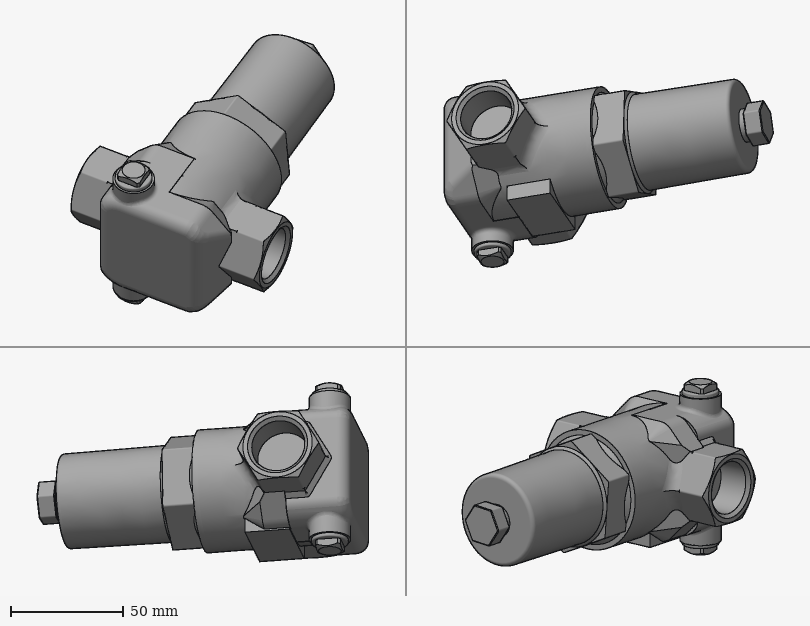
import cadquery as cq
import math

PORT_LENGTH = 95.0
BASE_Y = -28.5
TOP_Y = BASE_Y + 144.87
PLUG_SPAN = 79.0

BODY_RADIUS = 55.0 / 2
BODY_TOP_Y = 42.7
BODY_RIM_Y = 40.0
BODY_FOOT_RADIUS = 27.7

NUT_FLATS = 46.0
NUT_TOP_Y = 56.9
NUT_FOOT_CONE_RADIUS = 25.0
NUT_FOOT_CONE_HEIGHT = 4.0
NUT_CORNER_ROUND = 1.0
HEX_TILT = 4.5
CAP_FOOT_RADIUS = 21.7
CAP_TOP_RADIUS = 21.2
CAP_TOP_Y = 105.7
CAP_COLLAR_HEIGHT = 1.2
CAP_ROUND = 1.9
SCREW_FLATS = 17.0
SCREW_HEAD_Y = 108.3
SCREW_HEAD_EDGE = 0.4
SCREW_NECK_RADIUS = 15.0 / 2
SCREW_CORNER_ROUND = 1.0

PORT_FLATS = 32.0
PORT_CORNER_ROUND = 1.0
PORT_END_CHAMFER = 1.4
PORT_END_RADIUS = 15.7
BORE_RADIUS = 24.0 / 2
BORE_DEPTH = 16.0
BORE_LEAD_IN = 1.6
PORT_ROOT_FILLET = 5.0
PORT_ROOT_X = BODY_FOOT_RADIUS + PORT_ROOT_FILLET
INLET_FLARE = 2.2

HOUSING_HALF_WIDTH = 27.8
HOUSING_LEFT_X = -28.0
HOUSING_TOP_Y = 0.0
HOUSING_SLOPE_Z = 21.3
HOUSING_SLOPE_X = -22.6
HOUSING_SIDE_ROUND = 6.0
HOUSING_FRONT_ROUND = 14.0
PASSAGE_SLOPE_X = 19.7
PASSAGE_END_X = 31.5
PASSAGE_ROUND = 8.0
PASSAGE_HIDDEN_X = 14.0
PASSAGE_HIDDEN_Z = 22.0
PASSAGE_TOP_Y = 11.7
INLET_CREST_X = 17.5
INLET_CREST_Y = 21.5
INLET_PORT_SIDE_Y = 9.0
INLET_CREST_ROUND = 3.0
OUTLET_TOP_Y = -12.0
SHOULDER_HEIGHT = 10.0
SHOULDER_ANGLE = 33.0
OUTLET_HEEL_X = 23.8
BASE_ROUND = 5.2
OUTLET_HEEL_ROUND = 8.0

PLUG_X = -15.0
PLUG_Y = -17.5
BOSS_RADIUS = 18.5 / 2
BOSS_TOP_Z = 34.0
BOSS_FOOT_FILLET = 2.0
COLLAR_RADIUS = 16.5 / 2
COLLAR_TOP_Z = 35.8
COLLAR_ROUND = 0.6
PLUG_FLATS = 11.3
PLUG_CORNER_CHAMFER = 1.0
PLUG_TOP_RADIUS = 10.2 / 2
PLUG_TOP_ANGLE = 30.0

PAD_HALF_WIDTH = 17.5
PAD_START_Y = 0.3
PAD_END_Y = 20.5
PAD_FACE_Z = -28.5


def edges_at_x(x):
    """Selector for edges whose middle lies within 1 mm of the plane at x."""
    reach = PORT_LENGTH + TOP_Y
    return cq.selectors.BoxSelector((x - 1, -reach, -reach), (x + 1, reach, reach))


def revolve_about_y(profile):
    """Turn (radius, y) points about the spring axis."""
    return cq.Workplane("XY").polyline(profile).close().revolve(360, (0, 0, 0), (0, 1, 0))


def hex_along_y(flats, start_y, end_y, corner_angle, corner_round):
    """Hexagonal bar along Y with one corner at corner_angle from +X towards +Z."""
    return (
        cq.Workplane("XY")
        .polygon(6, flats / math.cos(math.pi / 6))
        .extrude(end_y - start_y)
        .edges("|Z")
        .fillet(corner_round)
        .rotate((0, 0, 0), (0, 0, 1), -corner_angle)
        .rotate((0, 0, 0), (1, 0, 0), -90)
        .translate((0, start_y, 0))
    )


def port_hexagon(x, normal_x):
    """Sharp-cornered port hexagon in the plane at x, with corners towards +Y and -Y."""
    plane = cq.Plane(origin=(x, 0, 0), xDir=(0, normal_x, 0), normal=(normal_x, 0, 0))
    return cq.Workplane(plane).polygon(6, PORT_FLATS / math.cos(math.pi / 6))


def round_body():
    """Slightly tapered body, blended into the upper sides of the two port roots."""
    trim_y = PLUG_Y
    long_foot_y = 2 * BASE_Y
    body = revolve_about_y([
        (0, long_foot_y),
        (BODY_FOOT_RADIUS, long_foot_y),
        (BODY_RADIUS, BODY_RIM_Y),
        (BODY_RADIUS, BODY_TOP_Y),
        (0, BODY_TOP_Y),
    ]).rotate((0, 0, 0), (0, 1, 0), 90)
    for side in (1, -1):
        body = body.union(port_hexagon(0, side).extrude(PORT_ROOT_X))

    joint_zone = cq.selectors.BoxSelector(
        (-PORT_ROOT_X + 1, -PORT_FLATS / 8, -PORT_FLATS),
        (PORT_ROOT_X - 1, PORT_FLATS, PORT_FLATS),
    )
    joint = body.edges("not %LINE").edges(joint_zone)
    body = joint.fillet(PORT_ROOT_FILLET)
    excess = (
        cq.Workplane("XZ", origin=(0, trim_y, 0))
        .rect(2 * PORT_LENGTH, 2 * PORT_LENGTH)
        .extrude(trim_y - long_foot_y)
    )
    return body.cut(excess)


def inlet_flare():
    """Small tapered skirt where the lower half of the inlet port meets the housing wall."""
    skirt = port_hexagon(HOUSING_LEFT_X - INLET_FLARE, 1).extrude(INLET_FLARE, taper=-45)
    lower_half = (
        cq.Workplane("XZ", origin=(HOUSING_LEFT_X, HOUSING_TOP_Y, 0))
        .rect(PORT_LENGTH, PORT_LENGTH)
        .extrude(PORT_LENGTH)
    )
    return skirt.intersect(lower_half)


def bonnet_nut():
    nut = hex_along_y(NUT_FLATS, BODY_TOP_Y, NUT_TOP_Y, 30 + HEX_TILT, NUT_CORNER_ROUND)
    foot_cone = revolve_about_y([
        (0, BODY_TOP_Y),
        (NUT_FOOT_CONE_RADIUS, BODY_TOP_Y),
        (NUT_FOOT_CONE_RADIUS - NUT_FOOT_CONE_HEIGHT, BODY_TOP_Y + NUT_FOOT_CONE_HEIGHT),
        (0, BODY_TOP_Y + NUT_FOOT_CONE_HEIGHT),
    ])
    return nut.union(foot_cone)


def spring_cap():
    cap = revolve_about_y([
        (0, BODY_TOP_Y),
        (CAP_FOOT_RADIUS, BODY_TOP_Y),
        (CAP_FOOT_RADIUS, NUT_TOP_Y),
        (CAP_TOP_RADIUS, CAP_TOP_Y),
        (0, CAP_TOP_Y),
    ]).faces(">Y").edges().fillet(CAP_ROUND)
    collar = revolve_about_y([
        (0, NUT_TOP_Y),
        (NUT_FLATS / 2, NUT_TOP_Y),
        (CAP_FOOT_RADIUS, NUT_TOP_Y + CAP_COLLAR_HEIGHT),
        (0, NUT_TOP_Y + CAP_COLLAR_HEIGHT),
    ])
    return cap.union(collar)


def adjusting_screw():
    neck = revolve_about_y([
        (0, CAP_TOP_Y - 1),
        (SCREW_NECK_RADIUS, CAP_TOP_Y - 1),
        (SCREW_NECK_RADIUS, SCREW_HEAD_Y),
        (0, SCREW_HEAD_Y),
    ])
    head = hex_along_y(SCREW_FLATS, SCREW_HEAD_Y, TOP_Y, HEX_TILT, SCREW_CORNER_ROUND)
    return neck.union(head.faces("<Y or >Y").edges().chamfer(SCREW_HEAD_EDGE))


def port(side):
    """Hexagonal port pointing to +X (side = 1) or -X (side = -1), without its bore."""
    end_x = PORT_LENGTH / 2
    bar = port_hexagon(0, 1).extrude(end_x).edges("|X").fillet(PORT_CORNER_ROUND)
    shoulder = PORT_FLATS / math.sqrt(3)
    envelope = (
        cq.Workplane("XY")
        .polyline([
            (0, 0),
            (end_x, 0),
            (end_x, PORT_END_RADIUS),
            (end_x - PORT_END_CHAMFER, shoulder),
            (0, shoulder),
        ])
        .close()
        .revolve(360, (0, 0, 0), (1, 0, 0))
    )
    bar = bar.intersect(envelope)
    return bar if side > 0 else bar.mirror("YZ")


def port_bore(side):
    end_x = PORT_LENGTH / 2
    bore = (
        cq.Workplane("XY")
        .polyline([
            (end_x - BORE_DEPTH, 0),
            (end_x - BORE_DEPTH, BORE_RADIUS),
            (end_x - BORE_LEAD_IN, BORE_RADIUS),
            (end_x, BORE_RADIUS + BORE_LEAD_IN),
            (end_x, 0),
        ])
        .close()
        .revolve(360, (0, 0, 0), (1, 0, 0))
    )
    return bore if side > 0 else bore.mirror("YZ")


def passage_outline(y):
    """Passage section at height y, reaching from inside the body to the +X port."""
    half_end = HOUSING_HALF_WIDTH - (PASSAGE_END_X - PASSAGE_SLOPE_X)
    upper = [
        (-PASSAGE_HIDDEN_X, PASSAGE_HIDDEN_Z),
        (0, HOUSING_HALF_WIDTH),
        (PASSAGE_SLOPE_X, HOUSING_HALF_WIDTH),
        (PASSAGE_END_X, half_end),
    ]
    lower = [(x, -z) for x, z in reversed(upper)]
    return cq.Workplane("XZ", origin=(0, y, 0)).polyline(upper + lower).close()


def round_passage(solid):
    return solid.edges("|Y").edges(edges_at_x(PASSAGE_SLOPE_X)).fillet(PASSAGE_ROUND)


def passage(bottom_y, top_y):
    """Passage to the +X port with a sloping shoulder that runs out on the body."""
    straight = round_passage(passage_outline(top_y).extrude(top_y - bottom_y))
    top_wire = straight.faces(">Y").wires().val()
    shoulder = cq.Workplane(
        cq.Solid.extrudeLinear(top_wire, [], cq.Vector(0, SHOULDER_HEIGHT, 0), SHOULDER_ANGLE)
    )
    return straight.union(shoulder)


def inlet_passage():
    """Passage to the -X port; in plan its outer corner slopes down towards the port."""
    plan = (
        cq.Workplane("XY")
        .polyline([
            (-PASSAGE_HIDDEN_X - 1, HOUSING_TOP_Y),
            (PASSAGE_END_X, HOUSING_TOP_Y),
            (PASSAGE_END_X, INLET_PORT_SIDE_Y),
            (INLET_CREST_X, INLET_CREST_Y),
            (-PASSAGE_HIDDEN_X - 1, INLET_CREST_Y),
        ])
        .close()
        .extrude(HOUSING_HALF_WIDTH, both=True)
    )
    crest = cq.selectors.NearestToPointSelector((INLET_CREST_X, INLET_CREST_Y, 0))
    plan = plan.edges("|Z").edges(crest).fillet(INLET_CREST_ROUND)
    return passage(HOUSING_TOP_Y, PASSAGE_TOP_Y).intersect(plan).mirror("YZ")


def lower_housing():
    """Flat-based housing: inlet box on the left, rounded outlet heel on the right."""
    box_upper = [
        (HOUSING_LEFT_X, HOUSING_SLOPE_Z),
        (HOUSING_SLOPE_X, HOUSING_HALF_WIDTH),
        (0, HOUSING_HALF_WIDTH),
    ]
    box_lower = [(x, -z) for x, z in reversed(box_upper)]
    box = (
        cq.Workplane("XZ", origin=(0, HOUSING_TOP_Y, 0))
        .polyline(box_upper + box_lower)
        .close()
        .extrude(HOUSING_TOP_Y - BASE_Y)
    )
    box = box.edges("|Y").edges(edges_at_x(HOUSING_SLOPE_X)).fillet(HOUSING_FRONT_ROUND)
    box = box.faces("<X").edges("|Y").fillet(HOUSING_SIDE_ROUND)

    heel = passage(BASE_Y, OUTLET_TOP_Y)
    heel_side = (
        cq.Workplane("XY")
        .polyline([
            (-PASSAGE_HIDDEN_X - 1, BASE_Y),
            (OUTLET_HEEL_X, BASE_Y),
            (PASSAGE_END_X, OUTLET_TOP_Y),
            (PASSAGE_END_X, OUTLET_TOP_Y + SHOULDER_HEIGHT),
            (-PASSAGE_HIDDEN_X - 1, OUTLET_TOP_Y + SHOULDER_HEIGHT),
        ])
        .close()
        .extrude(HOUSING_HALF_WIDTH, both=True)
    )
    heel_edge = cq.selectors.NearestToPointSelector((OUTLET_HEEL_X, BASE_Y, 0))
    heel_side = heel_side.edges("|Z").edges(heel_edge).fillet(OUTLET_HEEL_ROUND)
    heel = heel.intersect(heel_side)
    housing = box.union(heel)
    return housing.faces("<Y").edges().fillet(BASE_ROUND)


def plug_boss(side):
    """Boss, collar and cone-topped square plug on the +Z (side = 1) or -Z (side = -1) face."""
    boss = (
        cq.Workplane("XZ")
        .moveTo(0, 0)
        .lineTo(BOSS_RADIUS, 0)
        .lineTo(BOSS_RADIUS, BOSS_TOP_Z)
        .lineTo(COLLAR_RADIUS, BOSS_TOP_Z)
        .lineTo(COLLAR_RADIUS, COLLAR_TOP_Z)
        .lineTo(0, COLLAR_TOP_Z)
        .close()
        .revolve(360, (0, 0, 0), (0, 1, 0))
        .faces(">Z")
        .edges()
        .fillet(COLLAR_ROUND)
    )
    plug = (
        cq.Workplane("XY", origin=(0, 0, BOSS_TOP_Z))
        .rect(PLUG_FLATS, PLUG_FLATS)
        .extrude(PLUG_SPAN / 2 - BOSS_TOP_Z)
        .edges("|Z")
        .chamfer(PLUG_CORNER_CHAMFER)
    )
    plug_reach = PLUG_FLATS / math.sqrt(2)
    plug_drop = (plug_reach - PLUG_TOP_RADIUS) * math.tan(math.radians(PLUG_TOP_ANGLE))
    plug_envelope = (
        cq.Workplane("XZ")
        .polyline([
            (0, 0),
            (plug_reach, 0),
            (plug_reach, PLUG_SPAN / 2 - plug_drop),
            (PLUG_TOP_RADIUS, PLUG_SPAN / 2),
            (0, PLUG_SPAN / 2),
        ])
        .close()
        .revolve(360, (0, 0, 0), (0, 1, 0))
    )
    boss = boss.union(plug.intersect(plug_envelope)).translate((PLUG_X, PLUG_Y, 0))
    return boss if side > 0 else boss.mirror("XY")


def housing_with_bosses():
    """Lower housing and both plug bosses, with a fillet around the foot of each boss."""
    housing = lower_housing()
    for side in (1, -1):
        housing = housing.union(plug_boss(side))
    reach = BOSS_RADIUS + BOSS_FOOT_FILLET / 4
    for side in (1, -1):
        middle_z = side * (HOUSING_HALF_WIDTH - BASE_ROUND / 4)
        foot_zone = cq.selectors.BoxSelector(
            (PLUG_X - reach, PLUG_Y - reach, middle_z - BASE_ROUND / 2),
            (PLUG_X + reach, PLUG_Y + reach, middle_z + BASE_ROUND / 2),
            boundingbox=True,
        )
        housing = housing.edges(foot_zone).edges("not %LINE").fillet(BOSS_FOOT_FILLET)
    return housing


def name_plate_pad():
    return cq.Workplane("XY").box(
        2 * PAD_HALF_WIDTH, PAD_END_Y - PAD_START_Y, -PAD_FACE_Z, centered=(True, False, False)
    ).translate((0, PAD_START_Y, PAD_FACE_Z))


result = round_body().union(housing_with_bosses()).union(inlet_passage()).union(inlet_flare())
result = result.union(bonnet_nut()).union(spring_cap()).union(adjusting_screw())
result = result.union(name_plate_pad())
for side in (1, -1):
    result = result.union(port(side))
for side in (1, -1):
    result = result.cut(port_bore(side))